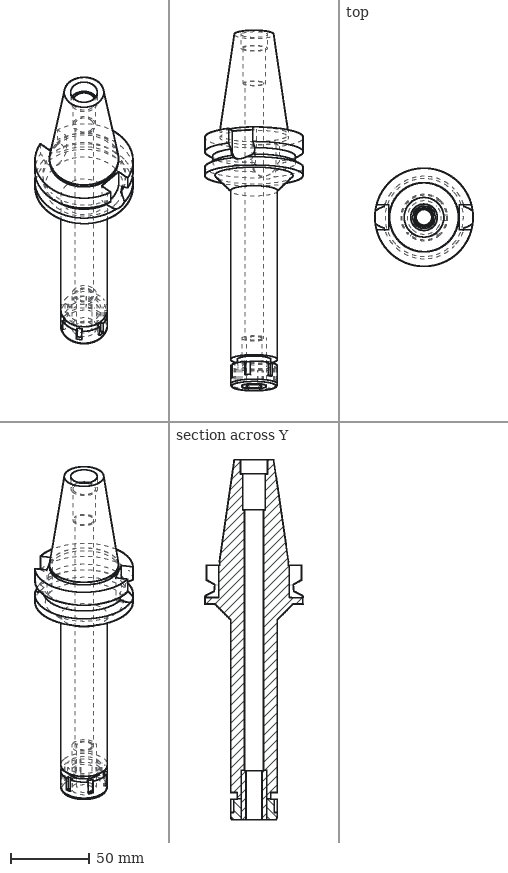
import cadquery as cq
import math


overall_length = 230.4

taper_length = 65.4
gauge_diameter = 44.45
taper_ratio = 7 / 24
taper_top_diameter = gauge_diameter - taper_ratio * taper_length

flange_diameter = 63.0
relief_diameter = 44.0
flange_top = -2.0
flange_bottom = -27.0
groove_floor_diameter = 53.0
groove_center = -16.6
groove_mouth = 10.0
groove_half_angle = 30.0
groove_depth = (flange_diameter - groove_floor_diameter) / 2
groove_floor_width = groove_mouth - 2 * groove_depth * math.tan(math.radians(groove_half_angle))

drive_slot_width = 16.1
drive_slot_floor = 22.6
drive_slot_end = -22.6

shank_diameter = 30.0
shank_bottom = -147.6
cone_diameter = 50.0
cone_height = (cone_diameter - shank_diameter) / 2
neck_diameter = 21.6

pull_stud_bore_diameter = 17.0
pull_stud_bore_depth = 9.0
thread_bore_diameter = 14.3
thread_bore_depth = 32.0
through_bore_diameter = 12.0

nut_diameter = 30.0
nut_top = -151.8
nut_bottom = taper_length - overall_length
nut_chamfer_height = 1.4
nut_chamfer_width = 0.7
wrench_slot_count = 6
wrench_slot_width = 3.5
wrench_slot_length = 8.5
wrench_slot_floor = 13.0

collet_diameter = 16.0
collet_length = 31.5
collet_bore_diameter = 10.0
collet_top = nut_bottom + collet_length


def cylinder(diameter, bottom, top):
    """Cylinder on the Z axis between two heights."""
    return cq.Workplane("XY").workplane(offset=bottom).circle(diameter / 2).extrude(top - bottom)


def drive_slot(side):
    """Cutter for one drive slot: open at the flange top, round at its lower end."""
    radius = drive_slot_width / 2
    round_center = drive_slot_end + radius
    return (
        cq.Workplane("YZ")
        .workplane(offset=side * drive_slot_floor)
        .moveTo(-radius, flange_top)
        .lineTo(-radius, round_center)
        .threePointArc((0, drive_slot_end), (radius, round_center))
        .lineTo(radius, flange_top)
        .close()
        .extrude(side * flange_diameter / 2)
    )


def make_holder():
    """Taper, flange, shank and nose turned as one body, then bored and slotted."""
    profile = [
        (0, taper_length),
        (taper_top_diameter / 2, taper_length),
        (gauge_diameter / 2, 0),
        (relief_diameter / 2, 0),
        (relief_diameter / 2, flange_top),
        (flange_diameter / 2, flange_top),
        (flange_diameter / 2, groove_center + groove_mouth / 2),
        (groove_floor_diameter / 2, groove_center + groove_floor_width / 2),
        (groove_floor_diameter / 2, groove_center - groove_floor_width / 2),
        (flange_diameter / 2, groove_center - groove_mouth / 2),
        (flange_diameter / 2, flange_bottom),
        (cone_diameter / 2, flange_bottom),
        (shank_diameter / 2, flange_bottom - cone_height),
        (shank_diameter / 2, shank_bottom),
        (neck_diameter / 2, shank_bottom),
        (neck_diameter / 2, nut_top),
        (0, nut_top),
    ]
    body = cq.Workplane("XZ").polyline(profile).close().revolve(360, (0, 0, 0), (0, 1, 0))
    body = body.cut(cylinder(pull_stud_bore_diameter, taper_length - pull_stud_bore_depth, taper_length))
    body = body.cut(cylinder(thread_bore_diameter, taper_length - thread_bore_depth, taper_length))
    body = body.cut(cylinder(through_bore_diameter, nut_top, taper_length))
    body = body.cut(cylinder(collet_diameter, nut_top, collet_top))
    for side in (-1, 1):
        body = body.cut(drive_slot(side))
    return body


def make_nut():
    """Ring with a chamfered lower rim and wrench slots open at its top."""
    profile = [
        (collet_diameter / 2, nut_top),
        (nut_diameter / 2, nut_top),
        (nut_diameter / 2, nut_bottom + nut_chamfer_height),
        (nut_diameter / 2 - nut_chamfer_width, nut_bottom),
        (collet_diameter / 2, nut_bottom),
    ]
    body = cq.Workplane("XZ").polyline(profile).close().revolve(360, (0, 0, 0), (0, 1, 0))
    slot = (
        cq.Workplane("XY")
        .workplane(offset=nut_top - wrench_slot_length)
        .center(wrench_slot_floor + nut_diameter / 2, 0)
        .rect(nut_diameter, wrench_slot_width)
        .extrude(wrench_slot_length)
    )
    for index in range(wrench_slot_count):
        body = body.cut(slot.rotate((0, 0, 0), (0, 0, 1), index * 360 / wrench_slot_count))
    return body


def make_collet():
    """Plain sleeve that fills the nose bore and the nut."""
    sleeve = cylinder(collet_diameter, nut_bottom, collet_top)
    return sleeve.cut(cylinder(collet_bore_diameter, nut_bottom, collet_top))


holder = make_holder()
nut = make_nut()
collet = make_collet()

result = cq.Compound.makeCompound([holder.val(), nut.val(), collet.val()])